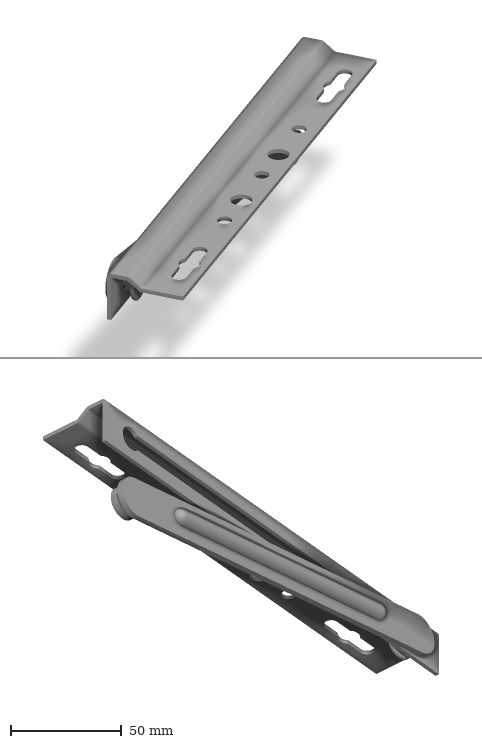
import cadquery as cq
import math

rib_height = 4
rib_radius = 4.2
rib_base_height = 0.5
arm_thickness = 3
arm_gap = 1
overall_width = 45
arm_outer_x = rib_height
arm_inner_x = arm_outer_x + arm_thickness
rail_outer_x = arm_inner_x + arm_gap

rail_length = 234
sheet = 2
wall_height = 24
inner_bend = 0.5
outer_bend = inner_bend + sheet
ledge_end_x = 18
jog_drop = 4.5
jog_angle = 37

pivot_y = -99
pivot_z = -13
keyhole_diameter = 12
wall_slot_width = 8

shelf_hole_x = 36.3
small_hole_diameter = 6.8
small_hole_spacing = 45
large_hole_diameter = 10
large_hole_ys = (20, -25)
shelf_slot_width = 7
shelf_slot_length = 32
shelf_slot_y = 87.5

arm_angle = 10
arm_reach = 202
arm_end_radius = 10
rib_straight = 140

pivot_stud_diameter = 7
knob_start_x = rail_outer_x + sheet + 1
knob_cone_length = 1
knob_hub_length = 3
knob_hub_diameter = 11.5
knob_rim_length = 2
knob_rim_diameter = 16
knob_rim_fillet = 0.8
end_stud_diameter = 9.5
end_stud_head_gap = 2
end_stud_head_length = 3.8
end_stud_head_diameter = 16
end_stud_chamfer = 0.2


def polar(center, radius, degrees):
    """Point on a circle, measured anticlockwise from the first axis."""
    angle = math.radians(degrees)
    return (center[0] + radius * math.cos(angle), center[1] + radius * math.sin(angle))


def rod(diameter, start_x, end_x, y, z):
    """Cylinder along X."""
    return cq.Workplane("YZ", origin=(start_x, y, z)).circle(diameter / 2).extrude(end_x - start_x)


def rail_profile():
    """Bent sheet outline in the XZ plane, with its top at Z = 0."""
    corner = (rail_outer_x + outer_bend, -outer_bend)
    ledge_bend = (ledge_end_x, -outer_bend)

    bend_sum = outer_bend + inner_bend
    slope = math.radians(jog_angle)
    straight_drop = jog_drop - bend_sum * (1 - math.cos(slope))
    jog_run = bend_sum * math.sin(slope) + straight_drop / math.tan(slope)
    shelf_bend = (ledge_end_x + jog_run, inner_bend - jog_drop)

    ledge_side = 90 - jog_angle
    shelf_side = 270 - jog_angle
    return (
        cq.Workplane("XZ")
        .moveTo(rail_outer_x, -wall_height)
        .lineTo(rail_outer_x, corner[1])
        .threePointArc(polar(corner, outer_bend, 135), (corner[0], 0))
        .lineTo(ledge_end_x, 0)
        .threePointArc(
            polar(ledge_bend, outer_bend, 90 - jog_angle / 2),
            polar(ledge_bend, outer_bend, ledge_side),
        )
        .lineTo(*polar(shelf_bend, inner_bend, shelf_side))
        .threePointArc(
            polar(shelf_bend, inner_bend, 270 - jog_angle / 2),
            (shelf_bend[0], -jog_drop),
        )
        .lineTo(overall_width, -jog_drop)
        .lineTo(overall_width, -jog_drop - sheet)
        .lineTo(shelf_bend[0], -jog_drop - sheet)
        .threePointArc(
            polar(shelf_bend, outer_bend, 270 - jog_angle / 2),
            polar(shelf_bend, outer_bend, shelf_side),
        )
        .lineTo(*polar(ledge_bend, inner_bend, ledge_side))
        .threePointArc(
            polar(ledge_bend, inner_bend, 90 - jog_angle / 2),
            (ledge_end_x, -sheet),
        )
        .lineTo(corner[0], -sheet)
        .threePointArc(polar(corner, inner_bend, 135), (rail_outer_x + sheet, corner[1]))
        .lineTo(rail_outer_x + sheet, -wall_height)
        .close()
    )


def wall_keyhole():
    """Round entry at the +Y end, with a round-ended slot running to the pivot."""
    wall_inner_x = rail_outer_x + sheet
    entry = rod(keyhole_diameter, rail_outer_x, wall_inner_x, -pivot_y, pivot_z)
    slot = (
        cq.Workplane("YZ", origin=(rail_outer_x, 0, pivot_z))
        .slot2D(2 * abs(pivot_y) + wall_slot_width, wall_slot_width)
        .extrude(sheet)
    )
    return entry.union(slot)


def shelf_holes():
    """Round holes along the shelf and a double keyhole slot near each end."""
    shelf = cq.Workplane("XY", origin=(shelf_hole_x, 0, -jog_drop - sheet))
    small_points = [(0, i * small_hole_spacing) for i in (-1, 0, 1)]
    slot_points = [(0, side * shelf_slot_y) for side in (-1, 1)]
    large_points = [(0, y) for y in large_hole_ys] + slot_points
    small = shelf.pushPoints(small_points).circle(small_hole_diameter / 2).extrude(sheet)
    large = shelf.pushPoints(large_points).circle(large_hole_diameter / 2).extrude(sheet)
    slots = shelf.pushPoints(slot_points).slot2D(shelf_slot_length, shelf_slot_width, 90).extrude(sheet)
    return small.union(large).union(slots)


def make_rail():
    blank = rail_profile().extrude(rail_length / 2, both=True)
    return blank.cut(wall_keyhole()).cut(shelf_holes())


def make_arm():
    """Round-ended bar with a rounded rib on its outer face, built level and then swung down."""
    middle_y = pivot_y + arm_reach / 2
    bar = (
        cq.Workplane("YZ", origin=(arm_outer_x, middle_y, pivot_z))
        .slot2D(arm_reach + 2 * arm_end_radius, 2 * arm_end_radius)
        .extrude(arm_thickness)
    )

    cap_height = rib_height - rib_base_height
    rib_start = middle_y - rib_straight / 2
    rib = (
        cq.Workplane("XZ", origin=(rib_radius, rib_start, pivot_z))
        .circle(rib_radius)
        .extrude(-rib_straight)
    )
    for y in (rib_start, rib_start + rib_straight):
        rib = rib.union(cq.Workplane("XY", origin=(rib_radius, y, pivot_z)).sphere(rib_radius))
    cap_zone = cq.Workplane("XY", origin=(0, middle_y, pivot_z)).box(
        cap_height, arm_reach, 2 * rib_radius, centered=(False, True, True)
    )

    base_width = 2 * math.sqrt(rib_radius**2 - (rib_radius - cap_height) ** 2)
    base = (
        cq.Workplane("YZ", origin=(cap_height, middle_y, pivot_z))
        .slot2D(rib_straight + base_width, base_width)
        .extrude(rib_base_height)
    )
    arm = bar.union(base).union(rib.intersect(cap_zone))

    arm = arm.cut(rod(pivot_stud_diameter, arm_outer_x, arm_inner_x, pivot_y, pivot_z))
    arm = arm.cut(rod(end_stud_diameter, arm_outer_x, arm_inner_x, pivot_y + arm_reach, pivot_z))
    return swing(arm)


def swing(body):
    """Turn a body about the pivot axis so that its +Y end drops."""
    return body.rotate((0, pivot_y, pivot_z), (1, pivot_y, pivot_z), -arm_angle)


def make_pivot_stud():
    """Plain pin through the arm, the wall slot and the knob."""
    stud_end_x = knob_start_x + knob_cone_length + knob_hub_length + knob_rim_length
    return rod(pivot_stud_diameter, arm_outer_x, stud_end_x, pivot_y, pivot_z)


def make_knob():
    """Coned hub with a wide rounded rim, bored for the pivot stud."""
    bore_radius = pivot_stud_diameter / 2
    hub_radius = knob_hub_diameter / 2
    rim_radius = knob_rim_diameter / 2
    hub_x = knob_start_x + knob_cone_length
    rim_x = hub_x + knob_hub_length
    end_x = rim_x + knob_rim_length
    body = (
        cq.Workplane("XY", origin=(0, pivot_y, pivot_z))
        .moveTo(knob_start_x, bore_radius)
        .lineTo(hub_x, hub_radius)
        .lineTo(rim_x, hub_radius)
        .lineTo(rim_x, rim_radius)
        .lineTo(end_x, rim_radius)
        .lineTo(end_x, bore_radius)
        .close()
        .revolve(360, (0, 0, 0), (1, 0, 0))
    )
    rim_edges = cq.selectors.RadiusNthSelector(-1)
    return swing(body.edges("%CIRCLE").edges(rim_edges).fillet(knob_rim_fillet))


def make_end_stud():
    """Headed stud in the free end of the arm, flush with the outer face."""
    end_y = pivot_y + arm_reach
    head_x = arm_inner_x + end_stud_head_gap
    shank = rod(end_stud_diameter, arm_outer_x, head_x, end_y, pivot_z)
    head = rod(end_stud_head_diameter, head_x, head_x + end_stud_head_length, end_y, pivot_z)
    return swing(shank.union(head.faces(">X").chamfer(end_stud_chamfer)))


rail = make_rail()
arm = make_arm()
pivot_stud = make_pivot_stud()
knob = make_knob()
end_stud = make_end_stud()

result = cq.Compound.makeCompound([rail.val(), arm.val(), pivot_stud.val(), knob.val(), end_stud.val()])